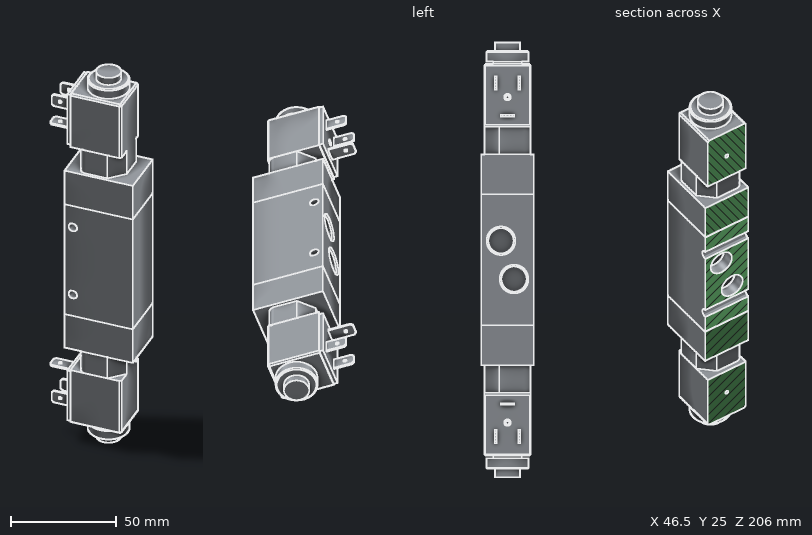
import cadquery as cq


TOTAL_HEIGHT = 206.0
HALF_HEIGHT = TOTAL_HEIGHT / 2

BLOCK_LENGTH = 35.0
BLOCK_WIDTH = 25.0
BLOCK_HEIGHT = 62.0
PORT_DIAMETER = 12.0
PORT_MOUTH_DIAMETER = 13.5
PORT_DEPTH = 10.3
PORT_OFFSET_Y = 3.0
PORT_OFFSET_Z = 9.0
MOUNT_HOLE_DIAMETER = 4.3
MOUNT_HOLE_X = -13.2
MOUNT_HOLE_OFFSET_Z = 19.0

END_CAP_HEIGHT = 19.0
STEM_HEIGHT = 13.0
COIL_HEIGHT = 29.9
COLLAR_HEIGHT = 1.0
NUT_HEIGHT = 5.2

END_CAP_BOTTOM = BLOCK_HEIGHT / 2
STEM_BOTTOM = END_CAP_BOTTOM + END_CAP_HEIGHT
COIL_BOTTOM = STEM_BOTTOM + STEM_HEIGHT
COIL_TOP = COIL_BOTTOM + COIL_HEIGHT
NUT_BOTTOM = COIL_TOP + COLLAR_HEIGHT
NUT_TOP = NUT_BOTTOM + NUT_HEIGHT

STEM_WIDTH = 21.8
STEM_FILLET = 3.5
STEM_CHAMFER = 7.0
COIL_WIDTH = 22.0
COIL_LEFT = -15.0
COIL_RIGHT = STEM_WIDTH / 2
COIL_CHAMFER = 0.8

PLATE_THICKNESS = 1.9
PLATE_LEFT = COIL_LEFT - PLATE_THICKNESS
PLATE_WIDTH = 21.0
PLATE_HEIGHT = 28.0
PLATE_SETBACK = 1.0
PLATE_BOTTOM = COIL_BOTTOM + PLATE_SETBACK
SCREW_HOLE_DIAMETER = 1.6
SCREW_MOUTH_DIAMETER = 3.0
SCREW_HOLE_DEPTH = 6.2
SCREW_HOLE_Z = 77.0

BLADE_WIDTH = 6.4
BLADE_THICKNESS = 0.8
BLADE_CHAMFER = 1.0
BLADE_HOLE_DIAMETER = 1.5
BLADE_HOLE_SETBACK = 4.3
SIDE_BLADE_TIP_X = -26.8
SIDE_BLADE_OFFSET_Y = 5.5
SIDE_BLADE_Z = 83.6
GROUND_BLADE_TIP_X = -29.0
GROUND_BLADE_Z = 68.2

COLLAR_DIAMETER = 13.5
NUT_DIAMETER = 20.0
NUT_CHAMFER = 0.6
KNOB_DIAMETER = 12.0


def box_on(bottom, length, width, height):
    """A box centred on the Z axis whose underside is at Z = bottom."""
    return cq.Workplane("XY", origin=(0, 0, bottom)).rect(length, width).extrude(height)


def disc_on(bottom, diameter, height):
    """A cylinder on the Z axis whose underside is at Z = bottom."""
    return cq.Workplane("XY", origin=(0, 0, bottom)).circle(diameter / 2).extrude(height)


def side_hole_cutter(diameter, mouth_diameter, depth):
    """A blind hole along +X starting at the origin, with a 45 degree chamfer at its mouth."""
    radius = diameter / 2
    mouth_radius = mouth_diameter / 2
    mouth_depth = mouth_radius - radius
    profile = (
        cq.Workplane("XY")
        .moveTo(0, 0)
        .lineTo(0, mouth_radius)
        .lineTo(mouth_depth, radius)
        .lineTo(depth, radius)
        .lineTo(depth, 0)
        .close()
    )
    return profile.revolve(360, (0, 0, 0), (1, 0, 0))


def make_valve_block():
    block = box_on(-BLOCK_HEIGHT / 2, BLOCK_LENGTH, BLOCK_WIDTH, BLOCK_HEIGHT)
    port = side_hole_cutter(PORT_DIAMETER, PORT_MOUTH_DIAMETER, PORT_DEPTH)
    for side in (1, -1):
        position = (-BLOCK_LENGTH / 2, side * PORT_OFFSET_Y, side * PORT_OFFSET_Z)
        block = block.cut(port.translate(position))
    mount_holes = (
        cq.Workplane("XZ")
        .pushPoints([(MOUNT_HOLE_X, side * MOUNT_HOLE_OFFSET_Z) for side in (1, -1)])
        .circle(MOUNT_HOLE_DIAMETER / 2)
        .extrude(BLOCK_WIDTH, both=True)
    )
    return block.cut(mount_holes)


def make_stem():
    """A square neck: two opposite corners are rounded and the other two are cut flat."""
    stem = box_on(STEM_BOTTOM, STEM_WIDTH, STEM_WIDTH, STEM_HEIGHT)
    corner = STEM_WIDTH / 2
    middle = STEM_BOTTOM + STEM_HEIGHT / 2
    for side in (1, -1):
        rounded_edge = cq.selectors.NearestToPointSelector((side * corner, side * corner, middle))
        stem = stem.edges(rounded_edge).fillet(STEM_FILLET)
        flat_edge = cq.selectors.NearestToPointSelector((side * corner, -side * corner, middle))
        stem = stem.edges(flat_edge).chamfer(STEM_CHAMFER)
    return stem


def make_coil():
    """The coil housing, chamfered around its outer end except on -X, and on its two +X corners."""
    coil = box_on(COIL_BOTTOM, COIL_RIGHT - COIL_LEFT, COIL_WIDTH, COIL_HEIGHT)
    coil = coil.translate(((COIL_LEFT + COIL_RIGHT) / 2, 0, 0))
    end_edges = coil.faces(">Z").edges("not(<X)")
    corner_edges = coil.faces(">X").edges("|Z")
    return end_edges.add(corner_edges).chamfer(COIL_CHAMFER)


def make_plate():
    plate = box_on(PLATE_BOTTOM, PLATE_THICKNESS, PLATE_WIDTH, PLATE_HEIGHT)
    return plate.translate((PLATE_LEFT + PLATE_THICKNESS / 2, 0, 0))


def make_blade(tip_x):
    """A flat blade in the XY plane from the plate to tip_x, with cut corners and a hole."""
    length = PLATE_LEFT - tip_x
    blade = cq.Workplane("XY").box(length, BLADE_WIDTH, BLADE_THICKNESS)
    blade = blade.translate((tip_x + length / 2, 0, 0))
    blade = blade.faces("<X").edges("|Z").chamfer(BLADE_CHAMFER)
    hole = (
        cq.Workplane("XY")
        .center(tip_x + BLADE_HOLE_SETBACK, 0)
        .circle(BLADE_HOLE_DIAMETER / 2)
        .extrude(BLADE_THICKNESS, both=True)
    )
    return blade.cut(hole)


def make_terminals():
    """Two upright side blades and one flat ground blade."""
    terminals = make_blade(GROUND_BLADE_TIP_X).translate((0, 0, GROUND_BLADE_Z))
    upright = make_blade(SIDE_BLADE_TIP_X).rotate((0, 0, 0), (1, 0, 0), 90)
    for side in (1, -1):
        terminals = terminals.add(upright.translate((0, side * SIDE_BLADE_OFFSET_Y, SIDE_BLADE_Z)))
    return terminals


def make_end_stack():
    """Collar, retaining nut and knob on the outer end of the coil."""
    collar = disc_on(COIL_TOP, COLLAR_DIAMETER, COLLAR_HEIGHT)
    nut = disc_on(NUT_BOTTOM, NUT_DIAMETER, NUT_HEIGHT).faces(">Z").edges().chamfer(NUT_CHAMFER)
    knob = disc_on(NUT_TOP, KNOB_DIAMETER, HALF_HEIGHT - NUT_TOP)
    return collar.union(nut).union(knob)


def make_actuator():
    """The +Z actuator: end cap, stem, coil with its connector, and end stack in one solid."""
    actuator = box_on(END_CAP_BOTTOM, BLOCK_LENGTH, BLOCK_WIDTH, END_CAP_HEIGHT)
    actuator = actuator.union(make_stem()).union(make_coil()).union(make_plate())
    for blade in make_terminals().vals():
        actuator = actuator.union(cq.Workplane(blade))
    actuator = actuator.union(make_end_stack())
    screw_hole = side_hole_cutter(SCREW_HOLE_DIAMETER, SCREW_MOUTH_DIAMETER, SCREW_HOLE_DEPTH)
    return actuator.cut(screw_hole.translate((PLATE_LEFT, 0, SCREW_HOLE_Z)))


valve_block = make_valve_block()
upper_actuator = make_actuator()
lower_actuator = upper_actuator.mirror("XY")

result = cq.Compound.makeCompound([valve_block.val(), upper_actuator.val(), lower_actuator.val()])